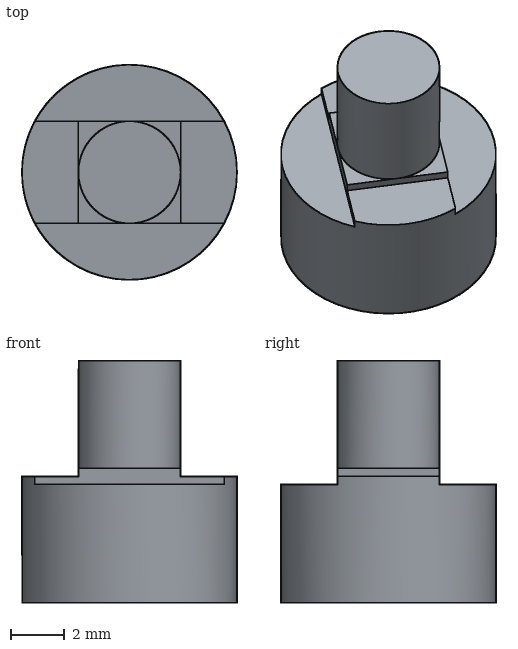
import cadquery as cq

total_height = 9.0
base_diameter = 8.0
pin_diameter = 3.8

shoulder_height = 4.4
rail_top = 4.7
pad_top = 5.0

rail_width = pin_diameter
pad_side = pin_diameter


def cylinder(diameter, bottom, top):
    """Upright cylinder on the Z axis between two levels."""
    return cq.Workplane("XY").workplane(offset=bottom).circle(diameter / 2).extrude(top - bottom)


def block(length, width, bottom, top):
    """Box centred on the Z axis between two levels."""
    return cq.Workplane("XY").workplane(offset=bottom).rect(length, width).extrude(top - bottom)


rail_envelope = block(base_diameter, rail_width, 0, rail_top)
rail = cylinder(base_diameter, 0, rail_top).intersect(rail_envelope)
base = cylinder(base_diameter, 0, shoulder_height).union(rail)

pad = block(pad_side, pad_side, shoulder_height, pad_top)
pin = cylinder(pin_diameter, shoulder_height, total_height)

result = base.union(pad).union(pin)